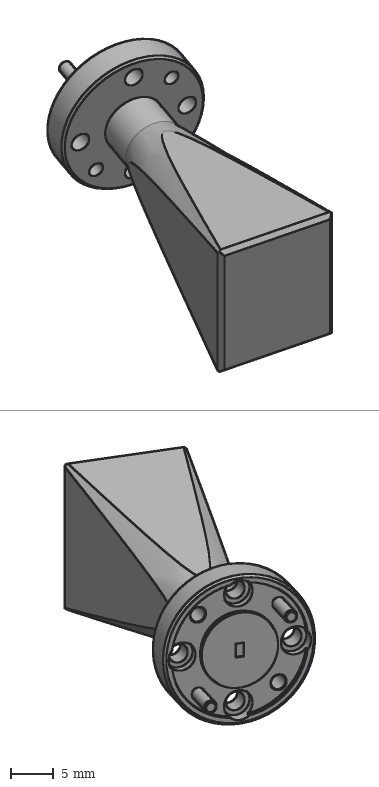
import cadquery as cq
import math

flange_front = 3.83
flange_back = 7.9
flare_start = 13.0
horn_end = 43.5
end_chamfer = 0.6
rim_station = horn_end - end_chamfer

flange_radius = 9.53
flange_chamfer = 0.3
recess_depth = 0.55
recess_outer_radius = 8.55
boss_radius = 4.8
guide_width = 1.0
guide_height = 1.75
guide_depth = 0.2

hole_circle_radius = 7.15
screw_hole_radius = 1.17
counterbore_radius = 1.8
counterbore_depth = 1.6
dowel_hole_radius = 0.9
dowel_hole_chamfer = 0.1
pin_radius = 0.8
pin_chamfer = 0.17
pin_angles = (135, 315)
dowel_hole_angles = (45, 225)

neck_radius = 3.83
corner_cone_radius = 11.85
rim_half_width = 7.65
rim_half_height = 9.35
side_tip_station = 14.22
top_tip_station = 15.6


def polar_point(station, angle, circle_radius):
    """Point at a station along X, at an angle (from +Y) on a circle about the axis."""
    y = circle_radius * math.cos(math.radians(angle))
    z = circle_radius * math.sin(math.radians(angle))
    return cq.Vector(station, y, z)


def rod(radius, start, end, angle=0, circle_radius=0):
    """Cylinder along X, optionally placed on a circle about the axis."""
    centre = polar_point(start, angle, circle_radius)
    return cq.Workplane("YZ", origin=centre.toTuple()).circle(radius).extrude(end - start)


def cone_radius(station):
    slope = (corner_cone_radius - neck_radius) / (rim_station - flare_start)
    return neck_radius + slope * (station - flare_start)


def half_size_at_flare(rim_half_size, tip_station):
    """Extend a flat from the rim, through its run-out tip, back to the flare start."""
    slope = (rim_half_size - cone_radius(tip_station)) / (rim_station - tip_station)
    return rim_half_size - slope * (rim_station - flare_start)


def tapered_block(start, end, start_half_sizes, end_half_sizes):
    """Loft between two rectangles given as (half width, half height)."""
    return (
        cq.Workplane("YZ", origin=(start, 0, 0))
        .rect(2 * start_half_sizes[0], 2 * start_half_sizes[1])
        .workplane(offset=end - start)
        .rect(2 * end_half_sizes[0], 2 * end_half_sizes[1])
        .loft(ruled=True)
    )


def make_flange():
    flange = rod(flange_radius, flange_front, flange_back).edges().chamfer(flange_chamfer)
    recess_floor = flange_front + recess_depth
    recess = rod(recess_outer_radius, flange_front, recess_floor)
    recess = recess.cut(rod(boss_radius, flange_front, recess_floor))
    guide = cq.Workplane("YZ", origin=(flange_front, 0, 0)).rect(guide_width, guide_height)
    flange = flange.cut(recess).cut(guide.extrude(guide_depth))

    for angle in range(0, 360, 90):
        counterbore_floor = flange_front + counterbore_depth
        flange = flange.cut(rod(screw_hole_radius, flange_front, flange_back, angle, hole_circle_radius))
        flange = flange.cut(
            rod(counterbore_radius, flange_front, counterbore_floor, angle, hole_circle_radius)
        )

    for angle in dowel_hole_angles:
        flange = flange.cut(rod(dowel_hole_radius, flange_front, flange_back, angle, hole_circle_radius))
        mouth = cq.Solid.makeCone(
            dowel_hole_radius + dowel_hole_chamfer,
            dowel_hole_radius,
            dowel_hole_chamfer,
            polar_point(recess_floor, angle, hole_circle_radius),
            cq.Vector(1, 0, 0),
        )
        flange = flange.cut(cq.Workplane(mouth))

    for angle in pin_angles:
        pin = rod(pin_radius, 0, flange_back, angle, hole_circle_radius)
        flange = flange.union(pin.faces("<X").chamfer(pin_chamfer))
    return flange


def make_horn():
    """Cone trimmed by a four-sided pyramid, with a chamfered mouth."""
    cone = (
        cq.Workplane("XY")
        .moveTo(flare_start, 0)
        .lineTo(flare_start, neck_radius)
        .lineTo(rim_station, corner_cone_radius)
        .lineTo(horn_end, corner_cone_radius)
        .lineTo(horn_end, 0)
        .close()
        .revolve(360, (0, 0, 0), (1, 0, 0))
    )
    flare_sizes = (
        half_size_at_flare(rim_half_width, side_tip_station),
        half_size_at_flare(rim_half_height, top_tip_station),
    )
    rim_sizes = (rim_half_width, rim_half_height)
    mouth_sizes = (rim_half_width - end_chamfer, rim_half_height - end_chamfer)
    pyramid = tapered_block(flare_start, rim_station, flare_sizes, rim_sizes)
    mouth = tapered_block(rim_station, horn_end, rim_sizes, mouth_sizes)
    return cone.intersect(pyramid.union(mouth))


neck = rod(neck_radius, flange_back, flare_start)
result = make_flange().union(neck).union(make_horn())